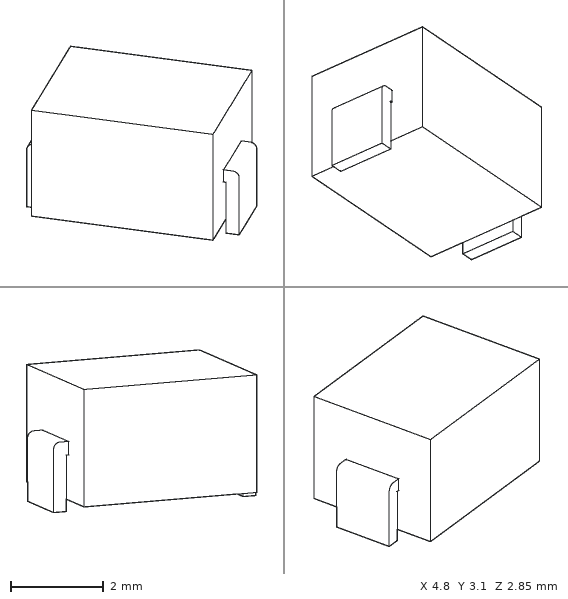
import cadquery as cq

OVERALL_LENGTH = 4.8
OVERALL_HEIGHT = 2.85

HOUSING_LENGTH = 4.1
HOUSING_WIDTH = 3.1
STANDOFF = 0.25
HOUSING_HEIGHT = OVERALL_HEIGHT - STANDOFF

LEAD_WIDTH = 1.4
LEAD_THICKNESS = 0.3
LEAD_TOP = 1.55
BEND_RADIUS = 0.15
LEAD_UNDERSIDE = LEAD_TOP - LEAD_THICKNESS
LEG_SPAN_INSIDE = OVERALL_LENGTH - 2 * LEAD_THICKNESS


def block(length, width, height, bottom):
    """Box centred on the Z axis, with its lower face at the given height."""
    return (
        cq.Workplane("XY")
        .workplane(offset=bottom)
        .box(length, width, height, centered=(True, True, False))
    )


def make_lead():
    """One strip running through the housing, with a downward leg at both ends."""
    strip = block(OVERALL_LENGTH, LEAD_WIDTH, LEAD_TOP, 0)
    rounded = strip.edges("|Y and >Z").fillet(BEND_RADIUS)
    space_between_legs = block(LEG_SPAN_INSIDE, LEAD_WIDTH, LEAD_UNDERSIDE, 0)
    return rounded.cut(space_between_legs)


def make_housing():
    """Plain rectangular housing with a tunnel that fits the lead strip."""
    tunnel = block(HOUSING_LENGTH, LEAD_WIDTH, LEAD_THICKNESS, LEAD_UNDERSIDE)
    return block(HOUSING_LENGTH, HOUSING_WIDTH, HOUSING_HEIGHT, STANDOFF).cut(tunnel)


housing = make_housing()
lead = make_lead()

result = cq.Compound.makeCompound([housing.solids().val(), lead.solids().val()])